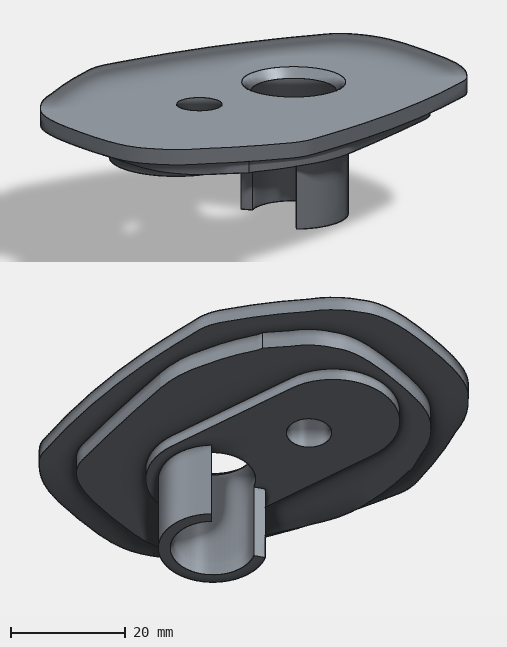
import cadquery as cq
import math

PLATE_THICKNESS = 2.8
MIDDLE_THICKNESS = 3.5
PAD_THICKNESS = 2.3
TUBE_LENGTH = 15.3

PLATE_BACK = 29.65
PLATE_FRONT = PLATE_BACK - 77.4
PLATE_BACK_BEND = (15.7, 26.1)
PLATE_BACK_SHOULDER = (18.4, 22.8)
PLATE_UPPER_SIDE_MIDDLE = (23.6, 8.35)
PLATE_UPPER_SIDE_END = (26.9, -6.1)
PLATE_LOWER_SIDE_MIDDLE = (27.8, -12.0)
PLATE_LOWER_SIDE_END = (28.5, -17.8)
PLATE_CORNER_MIDDLE = (28.55, -20.9)
PLATE_CORNER_END = (27.7, -23.8)
PLATE_FLANK_MIDDLE = (24.7, -30.65)
PLATE_FLANK_END = (21.0, -37.3)
PLATE_FRONT_BEND = (18.4, -41.4)
PLATE_FRONT_SHOULDER = (15.25, -44.35)

MIDDLE_BACK = 22.1
MIDDLE_FRONT = -40.1
MIDDLE_BACK_SHOULDER = (15.95, 16.25)
MIDDLE_SIDE_MIDDLE = (20.4, 3.1)
MIDDLE_SIDE_END = (23.4, -6.6)
MIDDLE_CORNER_MIDDLE = (24.15, -12.4)
MIDDLE_CORNER_END = (23.75, -16.3)
MIDDLE_FLANK_MIDDLE = (22.9, -21.3)
MIDDLE_FLANK_END = (21.6, -25.7)
HOLLOW_MIDDLE = (21.35, -26.5)
HOLLOW_END = (21.3, -27.3)
MIDDLE_FRONT_SIDE_END = (18.7, -31.5)
MIDDLE_FRONT_BEND = (16.6, -34.8)
MIDDLE_FRONT_SHOULDER = (13.6, -37.3)

PAD_RADIUS = 11.7
PAD_CENTER_DISTANCE = 26.3
TUBE_RADIUS = 9.5
TUBE_END_ANGLE = math.radians(36)

BORE_RADIUS = 7.4
COUNTERSINK_RADIUS = 9.05
SMALL_HOLE_RADIUS = 3.95
SMALL_HOLE_Y = -21.1

MIDDLE_TOP = -PLATE_THICKNESS
PAD_TOP = MIDDLE_TOP - MIDDLE_THICKNESS
TUBE_TOP = PAD_TOP - PAD_THICKNESS
BOTTOM = TUBE_TOP - TUBE_LENGTH


def mirrored_step(half_outline, top, thickness):
    """Extrude a closed right-half outline downward and mirror it about X = 0."""
    half = half_outline.close().extrude(-thickness).translate((0, 0, top))
    return half.union(half.mirror("YZ")).clean()


def direction(start, end):
    return (end[0] - start[0], end[1] - start[1])


def top_plate():
    outline = (
        cq.Workplane("XY")
        .moveTo(0, PLATE_BACK)
        .spline(
            [PLATE_BACK_BEND, PLATE_BACK_SHOULDER],
            tangents=[(1, 0), direction(PLATE_BACK_SHOULDER, PLATE_UPPER_SIDE_MIDDLE)],
            includeCurrent=True,
        )
        .threePointArc(PLATE_UPPER_SIDE_MIDDLE, PLATE_UPPER_SIDE_END)
        .threePointArc(PLATE_LOWER_SIDE_MIDDLE, PLATE_LOWER_SIDE_END)
        .threePointArc(PLATE_CORNER_MIDDLE, PLATE_CORNER_END)
        .threePointArc(PLATE_FLANK_MIDDLE, PLATE_FLANK_END)
        .threePointArc(PLATE_FRONT_BEND, PLATE_FRONT_SHOULDER)
        .spline(
            [(0, PLATE_FRONT)],
            tangents=[direction(PLATE_FRONT_BEND, PLATE_FRONT_SHOULDER), (-1, 0)],
            includeCurrent=True,
        )
    )
    return mirrored_step(outline, 0, PLATE_THICKNESS)


def middle_step():
    outline = (
        cq.Workplane("XY")
        .moveTo(0, MIDDLE_BACK)
        .spline(
            [MIDDLE_BACK_SHOULDER],
            tangents=[(1, 0), direction(MIDDLE_BACK_SHOULDER, MIDDLE_SIDE_MIDDLE)],
            includeCurrent=True,
        )
        .threePointArc(MIDDLE_SIDE_MIDDLE, MIDDLE_SIDE_END)
        .threePointArc(MIDDLE_CORNER_MIDDLE, MIDDLE_CORNER_END)
        .threePointArc(MIDDLE_FLANK_MIDDLE, MIDDLE_FLANK_END)
        .threePointArc(HOLLOW_MIDDLE, HOLLOW_END)
        .lineTo(*MIDDLE_FRONT_SIDE_END)
        .threePointArc(MIDDLE_FRONT_BEND, MIDDLE_FRONT_SHOULDER)
        .spline(
            [(0, MIDDLE_FRONT)],
            tangents=[direction(MIDDLE_FRONT_BEND, MIDDLE_FRONT_SHOULDER), (-1, 0)],
            includeCurrent=True,
        )
    )
    return mirrored_step(outline, MIDDLE_TOP, MIDDLE_THICKNESS)


def rounded_pad():
    return (
        cq.Workplane("XY", origin=(0, -PAD_CENTER_DISTANCE / 2, PAD_TOP))
        .slot2D(PAD_CENTER_DISTANCE + 2 * PAD_RADIUS, 2 * PAD_RADIUS, 90)
        .extrude(-PAD_THICKNESS)
    )


def split_tube():
    """Cylinder with a radial-sided opening toward -Y; the bore is cut later."""
    gap_depth = 2 * TUBE_RADIUS
    gap_half_width = gap_depth / math.tan(TUBE_END_ANGLE)
    gap = (
        cq.Workplane("XY", origin=(0, 0, TUBE_TOP))
        .polyline([(0, 0), (gap_half_width, -gap_depth), (-gap_half_width, -gap_depth)])
        .close()
        .extrude(-TUBE_LENGTH)
    )
    tube = cq.Workplane("XY", origin=(0, 0, TUBE_TOP)).circle(TUBE_RADIUS).extrude(-TUBE_LENGTH)
    return tube.cut(gap)


def through_hole(radius, y):
    return cq.Workplane("XY").center(0, y).circle(radius).extrude(BOTTOM)


def countersink():
    """45 degree cone at the mouth of the main bore."""
    depth = COUNTERSINK_RADIUS - BORE_RADIUS
    cone = cq.Solid.makeCone(BORE_RADIUS, COUNTERSINK_RADIUS, depth, pnt=cq.Vector(0, 0, -depth))
    return cq.Workplane(cone)


body = top_plate().union(middle_step()).union(rounded_pad()).union(split_tube())
result = (
    body.cut(through_hole(BORE_RADIUS, 0))
    .cut(countersink())
    .cut(through_hole(SMALL_HOLE_RADIUS, SMALL_HOLE_Y))
)